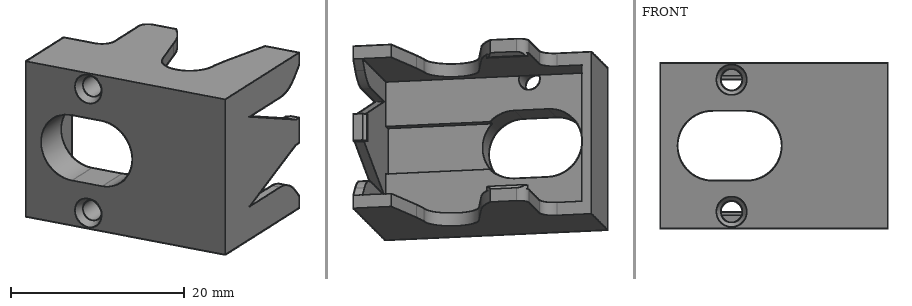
import cadquery as cq
import math

length = 26.21
depth = 17.7
height = 19.1
mid_z = height / 2

front_wall = 4.8
plate = 1.52
side_wall = 1.11
block_depth = 9.07
cavity_right = length - side_wall

tab_x = 5.78
tab_root_radius = 1.7
tab_tip_radius = 1.2

notch_x = 16.49
notch_y = 9.17
notch_radius = 3.2
notch_left_tangent = math.radians(194)
notch_left_tip = (10.05, depth)
notch_left_bulge = (11.3, 15.7)
notch_left_bend = (12.1, 13.3)
notch_right_tip = (21.73, depth)
notch_right_bulge = (19.87, 10.1)
notch_right_bend = (20.13, 11.4)

lip_height = 0.42
lip_depth = 2 * lip_height
lip_back = depth - lip_depth

finger_tip_half_width = 1.56
finger_slope = 0.357
rib_height = 4.05
rib_radius = 4.86

slot_x = 8.0
slot_length = 11.96
slot_height = 8.0
screw_x = 8.22
screw_edge_distance = 1.95
screw_diameter = 2.46
countersink_diameter = 3.5
countersink_depth = 0.95

relief_x = 12.85
relief_floor_y = 3.65
relief_width = 5.6


def box(x_range, y_range, z_range):
    """Box between the given limits."""
    size = [high - low for low, high in (x_range, y_range, z_range)]
    return cq.Workplane("XY").box(*size, centered=False).translate((x_range[0], y_range[0], z_range[0]))


def with_mirror(shape):
    """The shape together with its mirror image about the mid height."""
    return shape.union(shape.mirror("XY", (0, 0, mid_z)))


def round_vertical_edge(body, x, y, radius):
    """Fillet the full-height edge at the given place."""
    return body.edges(cq.selectors.NearestToPointSelector((x, y, mid_z))).fillet(radius)


def make_outer_body():
    """Solid stepped block with the rounded tab at its left."""
    body = (
        cq.Workplane("XY")
        .moveTo(0, 0)
        .lineTo(length, 0)
        .lineTo(length, depth)
        .lineTo(tab_x, depth)
        .lineTo(tab_x, block_depth)
        .lineTo(0, block_depth)
        .close()
        .extrude(height)
    )
    body = round_vertical_edge(body, tab_x, depth, tab_tip_radius)
    return round_vertical_edge(body, tab_x, block_depth, tab_root_radius)


def make_cavity():
    """Space between the plates, the side walls and the front wall."""
    return box((side_wall, cavity_right), (front_wall, depth), (plate, height - plate))


def make_tab_lips(outer_body):
    """Chamfered lips on the inner faces of the two left tabs."""
    lip = (
        cq.Workplane("YZ", origin=(tab_x, 0, 0))
        .moveTo(depth, plate)
        .lineTo(depth - lip_height, plate + lip_height)
        .lineTo(lip_back, plate + lip_height)
        .lineTo(lip_back, plate)
        .close()
        .extrude(notch_x - tab_x)
    )
    return with_mirror(lip).intersect(outer_body)


def make_notch():
    """Notch through both plates, narrowing towards its round end."""
    left_end = (
        notch_x + notch_radius * math.cos(notch_left_tangent),
        notch_y + notch_radius * math.sin(notch_left_tangent),
    )
    return (
        cq.Workplane("XY")
        .moveTo(*notch_left_tip)
        .threePointArc(notch_left_bulge, notch_left_bend)
        .lineTo(*left_end)
        .threePointArc((notch_x, notch_y - notch_radius), (notch_x + notch_radius, notch_y))
        .threePointArc(notch_right_bulge, notch_right_bend)
        .lineTo(*notch_right_tip)
        .close()
        .extrude(height)
    )


def make_finger_gaps():
    """Gaps in the right wall between the spring finger and the corner ribs."""
    arc_end_slope = math.radians(45)
    arc_rise = rib_radius * (1 - math.cos(arc_end_slope))
    ramp = rib_height - plate - arc_rise
    arc_y = depth - ramp - rib_radius * math.sin(arc_end_slope)
    arc_z = rib_height - rib_radius

    def arc_point(angle):
        return (arc_y + rib_radius * math.sin(angle), arc_z + rib_radius * math.cos(angle))

    finger_edge_z = mid_z - finger_tip_half_width
    gap_end_y = lip_back - (finger_edge_z - rib_height) / finger_slope
    gap = (
        cq.Workplane("YZ", origin=(cavity_right, 0, 0))
        .moveTo(depth, plate)
        .lineTo(*arc_point(arc_end_slope))
        .threePointArc(arc_point(arc_end_slope / 2), arc_point(0))
        .lineTo(gap_end_y, rib_height)
        .lineTo(lip_back, finger_edge_z)
        .lineTo(depth, finger_edge_z)
        .close()
        .extrude(side_wall)
    )
    return with_mirror(gap)


def make_finger_lip():
    """Chamfered lip on the inner face of the spring finger tip."""
    return (
        cq.Workplane("XY", origin=(0, 0, mid_z - finger_tip_half_width))
        .moveTo(cavity_right, depth)
        .lineTo(cavity_right - lip_height, depth - lip_height)
        .lineTo(cavity_right - lip_height, lip_back)
        .lineTo(cavity_right, lip_back)
        .close()
        .extrude(2 * finger_tip_half_width)
    )


def make_slot():
    """Oval slot through the front wall."""
    return cq.Workplane("XZ").center(slot_x, mid_z).slot2D(slot_length, slot_height).extrude(-front_wall)


def make_screw_holes():
    """Two countersunk holes through the front wall."""
    hole = (
        cq.Workplane("XZ")
        .center(screw_x, screw_edge_distance)
        .circle(screw_diameter / 2)
        .extrude(-front_wall)
    )
    countersink = cq.Solid.makeCone(
        countersink_diameter / 2,
        screw_diameter / 2,
        countersink_depth,
        pnt=cq.Vector(screw_x, 0, screw_edge_distance),
        dir=cq.Vector(0, 1, 0),
    )
    return with_mirror(hole.union(cq.Workplane(countersink)))


def make_relief():
    """Shallow pocket in the back of the front wall, beside the slot."""
    z_range = (mid_z - relief_width / 2, mid_z + relief_width / 2)
    return box((relief_x, cavity_right), (relief_floor_y, front_wall), z_range)


outer_body = make_outer_body()
result = outer_body.cut(make_cavity())
result = result.union(make_tab_lips(outer_body))
result = result.cut(make_notch())
result = result.cut(make_finger_gaps())
result = result.union(make_finger_lip())
result = result.cut(make_slot())
result = result.cut(make_relief())
result = result.cut(make_screw_holes())